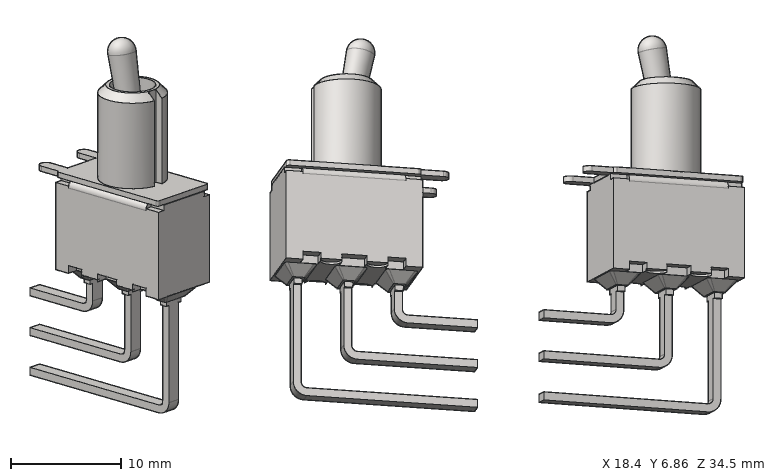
import cadquery as cq
import math

BODY_LENGTH = 12.7
BODY_WIDTH = 6.86
BODY_HEIGHT = 8.88
TOP_EDGE_RADIUS = 0.7
CORNER_NOTCH_DEPTH = 0.73
CORNER_NOTCH_HEIGHT = 0.52
RAIL_LENGTH = 9.56

PIN_COUNT = 3
PIN_PITCH = 4.7
PIN_THICKNESS = 0.76
PIN_WIDTH = 1.32
PIN_BEND_RADIUS = 0.5
PIN_END_X = -12.07
ROW_PITCH = 3.8
FIRST_ROW_Z = -4.1
SHOULDER_WIDTH = 1.98
SHOULDER_BOTTOM = -1.55
SEALANT_HEIGHT = 1.04
SEALANT_LENGTH = 3.0
SEALANT_WIDTH = 4.5
SEALANT_INSET = 0.92
SEALANT_CORNER_RADIUS = 0.3
SEALANT_TIP_RADIUS = 0.1

NOTCH_DEPTH = 1.1
NOTCH_HEIGHT = 0.75
CENTRE_NOTCH_LENGTH = 2.33
END_NOTCH_LENGTH = 1.65
SCALLOP_HEIGHT = 0.2

PLATE_LENGTH = 12.5
PLATE_WIDTH = 6.8
PLATE_THICKNESS = 0.52
PLATE_CORNER_RADIUS = 0.25
PRONG_WIDTH = 1.27
PRONG_OFFSET = 2.54
PRONG_END_X = -8.95

BUSHING_RADIUS = 6.35 / 2
BUSHING_TOP = 18.31
BUSHING_CHAMFER = 0.73
BORE_RADIUS = 4.2 / 2
KEYWAY_WIDTH = 1.0
KEYWAY_FLOOR_X = BUSHING_RADIUS - BUSHING_CHAMFER

TILT_ANGLE = 10.8
LEVER_TIP_RADIUS = 1.31
LEVER_ROOT_RADIUS = 1.03
PIVOT_Z = 14.2
LEVER_LENGTH = 7.08

PLATE_TOP = BODY_HEIGHT + PLATE_THICKNESS


def make_rail_rounding():
    """Material that comes off both top edges between the corner notches."""
    square = cq.Workplane().box(RAIL_LENGTH, BODY_WIDTH, BODY_HEIGHT, centered=(True, True, False))
    rounded = square.edges("|X and >Z").fillet(TOP_EDGE_RADIUS)
    return square.cut(rounded)


def make_block():
    """Block with four notched top corners and rounded long top edges between them."""
    block = cq.Workplane().box(BODY_LENGTH, BODY_WIDTH, BODY_HEIGHT, centered=(True, True, False))
    notch_length = (BODY_LENGTH - RAIL_LENGTH) / 2
    corners = cq.Workplane().rect(
        BODY_LENGTH - notch_length, BODY_WIDTH - CORNER_NOTCH_DEPTH, forConstruction=True
    ).vertices()
    notches = corners.rect(notch_length, CORNER_NOTCH_DEPTH).extrude(CORNER_NOTCH_HEIGHT)
    block = block.cut(notches.translate((0, 0, BODY_HEIGHT - CORNER_NOTCH_HEIGHT)))
    return block.cut(make_rail_rounding())


def cut_bottom_reliefs(block):
    """Notch both long walls at each terminal and scallop them between the notches."""
    end_notch_x = (RAIL_LENGTH - END_NOTCH_LENGTH) / 2
    notches = [
        (-end_notch_x, END_NOTCH_LENGTH),
        (0, CENTRE_NOTCH_LENGTH),
        (end_notch_x, END_NOTCH_LENGTH),
    ]
    for x, length in notches:
        for side in (-1, 1):
            notch = cq.Workplane().box(length, NOTCH_DEPTH, NOTCH_HEIGHT, centered=(True, True, False))
            block = block.cut(notch.translate((x, side * (BODY_WIDTH - NOTCH_DEPTH) / 2, 0)))

    gap_start = CENTRE_NOTCH_LENGTH / 2
    gap_end = RAIL_LENGTH / 2 - END_NOTCH_LENGTH
    scallop_x = (gap_start + gap_end) / 2
    scallop_radius = (gap_end - gap_start) / 2
    scallops = cq.Workplane().rect(2 * scallop_x, BODY_WIDTH, forConstruction=True).vertices()
    return block.cut(scallops.circle(scallop_radius).extrude(SCALLOP_HEIGHT))


def make_plate():
    """Plate on top of the block, with two round-ended prongs reaching toward -X."""
    plate = cq.Workplane().box(PLATE_LENGTH, PLATE_WIDTH, PLATE_THICKNESS, centered=(True, True, False))
    plate = plate.edges("|Z").fillet(PLATE_CORNER_RADIUS)
    prong_length = -PRONG_END_X
    for y in (-PRONG_OFFSET, PRONG_OFFSET):
        prong = cq.Workplane().center(PRONG_END_X / 2, y).slot2D(prong_length, PRONG_WIDTH)
        plate = plate.union(prong.extrude(PLATE_THICKNESS))
    return plate.translate((0, 0, BODY_HEIGHT))


def make_bushing():
    """Chamfered sleeve with a keyway along its +X side."""
    height = BUSHING_TOP - PLATE_TOP
    bushing = cq.Workplane().circle(BUSHING_RADIUS).extrude(height)
    bushing = bushing.faces(">Z").chamfer(BUSHING_CHAMFER)
    keyway = cq.Workplane().box(BUSHING_RADIUS, KEYWAY_WIDTH, height, centered=(False, True, False))
    bushing = bushing.cut(keyway.translate((KEYWAY_FLOOR_X, 0, 0)))
    return bushing.translate((0, 0, PLATE_TOP))


def make_socket():
    """Volume of the bore, ending in a half-ball seat for the lever."""
    bore = cq.Workplane().circle(BORE_RADIUS).extrude(BUSHING_TOP - PIVOT_Z)
    return bore.union(cq.Workplane().sphere(BORE_RADIUS)).translate((0, 0, PIVOT_Z))


def make_sealant(x):
    """Tapered mound of sealant below the block, around the terminal at x."""
    base = cq.Sketch().rect(SEALANT_LENGTH, SEALANT_WIDTH).vertices().fillet(SEALANT_CORNER_RADIUS)
    tip = cq.Sketch().rect(SEALANT_LENGTH - 2 * SEALANT_INSET, SEALANT_WIDTH - 2 * SEALANT_INSET)
    tip = tip.vertices().fillet(SEALANT_TIP_RADIUS)
    mound = cq.Workplane().placeSketch(base, tip.moved(cq.Location(cq.Vector(0, 0, -SEALANT_HEIGHT)))).loft()
    return mound.translate((x, 0, 0))


def make_pin(x, row_z):
    """Terminal that drops from the block at x and bends toward -X at height row_z."""
    half = PIN_THICKNESS / 2
    outer_bend = PIN_BEND_RADIUS + PIN_THICKNESS
    pin = (
        cq.Workplane("XZ")
        .moveTo(x + half, 0)
        .lineTo(x + half, row_z - half)
        .lineTo(PIN_END_X, row_z - half)
        .lineTo(PIN_END_X, row_z + half)
        .lineTo(x - half, row_z + half)
        .lineTo(x - half, 0)
        .close()
        .extrude(PIN_WIDTH / 2, both=True)
    )
    pin = pin.edges(cq.NearestToPointSelector((x + half, 0, row_z - half))).fillet(outer_bend)
    pin = pin.edges(cq.NearestToPointSelector((x - half, 0, row_z + half))).fillet(PIN_BEND_RADIUS)
    shoulder = cq.Workplane().rect(PIN_THICKNESS, SHOULDER_WIDTH).extrude(SHOULDER_BOTTOM)
    return pin.union(shoulder.translate((x, 0, 0)))


def make_housing():
    """Block, plate, bushing and terminals as one solid."""
    housing = cut_bottom_reliefs(make_block()).union(make_plate()).union(make_bushing())
    for row in range(PIN_COUNT):
        x = (row - (PIN_COUNT - 1) / 2) * PIN_PITCH
        row_z = FIRST_ROW_Z - row * ROW_PITCH
        housing = housing.union(make_sealant(x)).union(make_pin(x, row_z))
    return housing.cut(make_socket())


def make_lever():
    """Round-tipped tapered lever on a pivot ball, leaning toward -X."""
    taper = math.asin((LEVER_TIP_RADIUS - LEVER_ROOT_RADIUS) / LEVER_LENGTH)
    stem_top_radius = LEVER_TIP_RADIUS * math.cos(taper)
    stem_top_z = LEVER_LENGTH - LEVER_TIP_RADIUS * math.sin(taper)
    lever = (
        cq.Workplane("XZ")
        .moveTo(0, 0)
        .lineTo(LEVER_ROOT_RADIUS, 0)
        .lineTo(stem_top_radius, stem_top_z)
        .radiusArc((0, LEVER_LENGTH + LEVER_TIP_RADIUS), -LEVER_TIP_RADIUS)
        .close()
        .revolve(360, (0, 0), (0, 1))
    )
    lever = lever.rotate((0, 0, 0), (0, 1, 0), -TILT_ANGLE)
    ball = cq.Workplane().sphere(BORE_RADIUS)
    return ball.union(lever).translate((0, 0, PIVOT_Z))


housing = make_housing()
lever = make_lever()
result = cq.Compound.makeCompound([housing.val(), lever.val()])